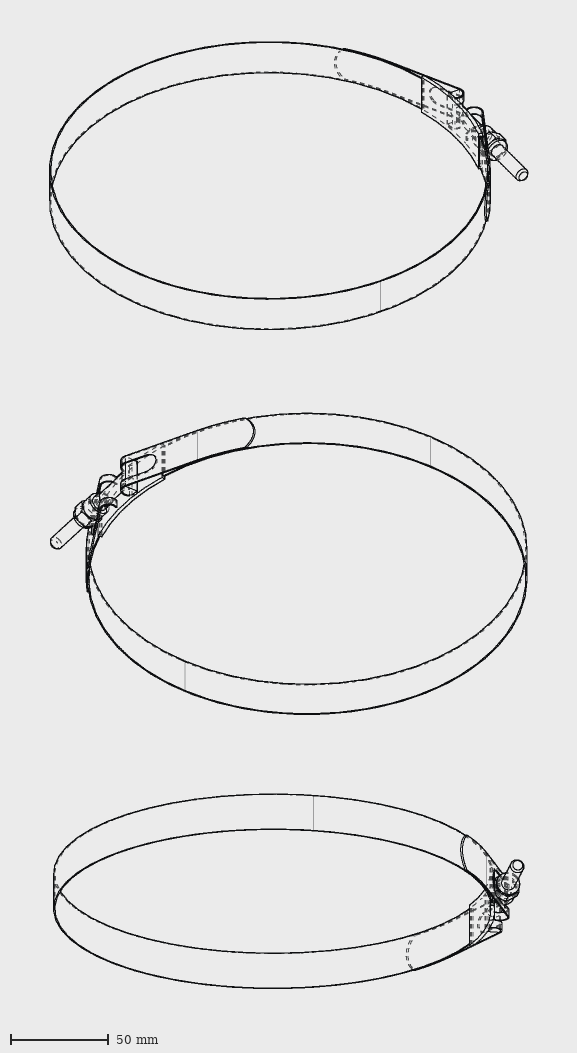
import cadquery as cq
import math

band_diameter = 225.3
band_radius = band_diameter / 2
strip_thickness = 0.7
strip_width = 19.3
bridge_inner_radius = 111.3
bridge_outer_radius = 113.5
bridge_width = 22.0
bridge_half_angle = 15.0

loop_x = 9.6
bolt_y = 116.3
loop_inner_radius = 4.0
loop_outer_radius = loop_inner_radius + strip_thickness
loop_end_angle = 32.0
flap_tip_x = 75.6
flap_trim_angle = 1.0
flap_tip_depth = 3.5
slot_half_width = 5.5
slot_tip_x = 28.0
window_half_width = 7.0
window_start_x = 16.5
window_tip_x = 38.8

shaft_radius = 3.5
bar_flat_depth = 1.6
bolt_end_x = 59.2
tip_chamfer_length = 1.5
tip_chamfer_depth = 1.0

sleeve_radius = 4.2
collar_start_x = 18.0
hexagon_start_x = 25.1
hexagon_flats = 12.0
collar_radius = hexagon_flats / 2
disc_start_x = 31.5
nut_end_x = 33.1
collar_chamfer = 0.7


def polar(radius, degrees, center=(0.0, 0.0)):
    """Point at an angle measured clockwise from +Y."""
    angle = math.radians(degrees)
    return (center[0] + radius * math.sin(angle), center[1] + radius * math.cos(angle))


def sketch_below(width):
    """XY workplane at the underside of a body that is centred on the XY plane."""
    return cq.Workplane("XY", origin=(0, 0, -width / 2))


def z_cylinder(radius, center_x, width):
    """Cylinder across the strip, centred on a loop."""
    return sketch_below(width).center(center_x, bolt_y).circle(radius).extrude(width)


def x_cylinder(radius, start_x, end_x):
    """Cylinder on the bolt axis."""
    return cq.Workplane("YZ", origin=(start_x, bolt_y, 0)).circle(radius).extrude(end_x - start_x)


def round_ended_slab(half_width, start_x, tip_x, tip_depth):
    """Slab along Y whose XZ outline ends in an arc of the given depth at tip_x."""
    straight_end_x = tip_x - tip_depth
    return (
        cq.Workplane("XZ")
        .moveTo(start_x, half_width)
        .lineTo(straight_end_x, half_width)
        .threePointArc((tip_x, 0), (straight_end_x, -half_width))
        .lineTo(start_x, -half_width)
        .close()
        .extrude(-2 * band_radius)
    )


def make_band():
    """Open ring that butts against both ends of the bridge."""
    inner_radius = band_radius - strip_thickness
    end = bridge_half_angle
    side = (end + 90) / 2
    outline = (
        sketch_below(strip_width)
        .moveTo(*polar(band_radius, end))
        .threePointArc(polar(band_radius, side), (band_radius, 0))
        .threePointArc((0, -band_radius), (-band_radius, 0))
        .threePointArc(polar(band_radius, -side), polar(band_radius, -end))
        .lineTo(*polar(inner_radius, -end))
        .threePointArc(polar(inner_radius, -side), (-inner_radius, 0))
        .threePointArc((0, -inner_radius), (inner_radius, 0))
        .threePointArc(polar(inner_radius, side), polar(inner_radius, end))
    )
    return outline.close().extrude(strip_width)


def make_ear():
    """Ear on the +X side; its straight run is tangent to both the band and the loop."""
    center = (loop_x, bolt_y)
    center_angle = math.degrees(math.atan2(loop_x, bolt_y))
    center_distance = math.hypot(loop_x, bolt_y)
    spread = math.degrees(math.acos((band_radius - loop_inner_radius) / center_distance))
    tangent = center_angle + spread
    flap_end = math.degrees(math.asin(flap_tip_x / band_radius)) + flap_trim_angle
    flap_middle = (tangent + flap_end) / 2
    loop_end = -90 - loop_end_angle
    loop_middle = (tangent + loop_end) / 2
    flap_radius = band_radius + strip_thickness
    outline = (
        sketch_below(strip_width)
        .moveTo(*polar(band_radius, flap_end))
        .threePointArc(polar(band_radius, flap_middle), polar(band_radius, tangent))
        .lineTo(*polar(loop_inner_radius, tangent, center))
        .threePointArc(
            polar(loop_inner_radius, loop_middle, center),
            polar(loop_inner_radius, loop_end, center),
        )
        .lineTo(*polar(loop_outer_radius, loop_end, center))
        .threePointArc(
            polar(loop_outer_radius, loop_middle, center),
            polar(loop_outer_radius, tangent, center),
        )
        .lineTo(*polar(flap_radius, tangent))
        .threePointArc(polar(flap_radius, flap_middle), polar(flap_radius, flap_end))
    )
    ear = outline.close().extrude(strip_width)
    ear = ear.intersect(round_ended_slab(strip_width / 2, 0, flap_tip_x, flap_tip_depth))
    return ear.cut(round_ended_slab(slot_half_width, 0, slot_tip_x, slot_half_width))


def make_bolt():
    """Plain shaft with a D-shaped cross bar held in the -X loop."""
    shaft = (
        x_cylinder(shaft_radius, -loop_x, bolt_end_x)
        .faces(">X")
        .chamfer(tip_chamfer_length, tip_chamfer_depth)
    )
    half_chord = math.sqrt(loop_inner_radius**2 - bar_flat_depth**2)
    bar = (
        sketch_below(strip_width)
        .center(-loop_x, bolt_y)
        .moveTo(-bar_flat_depth, half_chord)
        .threePointArc((loop_inner_radius, 0), (-bar_flat_depth, -half_chord))
        .close()
        .extrude(strip_width)
    )
    return bar.union(shaft)


def make_nut():
    """Nut whose sleeve ends in a saddle around the +X loop."""
    sleeve = x_cylinder(sleeve_radius, loop_x, collar_start_x)
    saddle = z_cylinder(loop_outer_radius, loop_x, strip_width)
    collar = x_cylinder(collar_radius, collar_start_x, hexagon_start_x).faces(">X").chamfer(collar_chamfer)
    hexagon = (
        cq.Workplane("YZ", origin=(hexagon_start_x, bolt_y, 0))
        .polygon(6, hexagon_flats, circumscribed=True)
        .extrude(disc_start_x - hexagon_start_x)
    )
    disc = x_cylinder(collar_radius, disc_start_x, nut_end_x)
    bore = x_cylinder(shaft_radius, loop_x, nut_end_x)
    return sleeve.cut(saddle).union(collar).union(hexagon).union(disc).cut(bore)


def make_bridge():
    """Curved plate that closes the gap in the band."""
    end = bridge_half_angle
    outline = (
        sketch_below(bridge_width)
        .moveTo(*polar(bridge_outer_radius, -end))
        .threePointArc((0, bridge_outer_radius), polar(bridge_outer_radius, end))
        .lineTo(*polar(bridge_inner_radius, end))
        .threePointArc((0, bridge_inner_radius), polar(bridge_inner_radius, -end))
    )
    return outline.close().extrude(bridge_width)


band = make_band()
bolt = make_bolt()
nut = make_nut()

solid_nut = nut.union(x_cylinder(shaft_radius, loop_x, nut_end_x))
bridge = make_bridge().cut(bolt).cut(solid_nut)

ear = make_ear()
bar_ear = ear.mirror("YZ")
nut_window = round_ended_slab(window_half_width, window_start_x, window_tip_x, window_half_width)
nut_ear = ear.cut(nut_window)

result = cq.Compound.makeCompound(
    [band.val(), bridge.val(), bar_ear.val(), nut_ear.val(), bolt.val(), nut.val()]
)